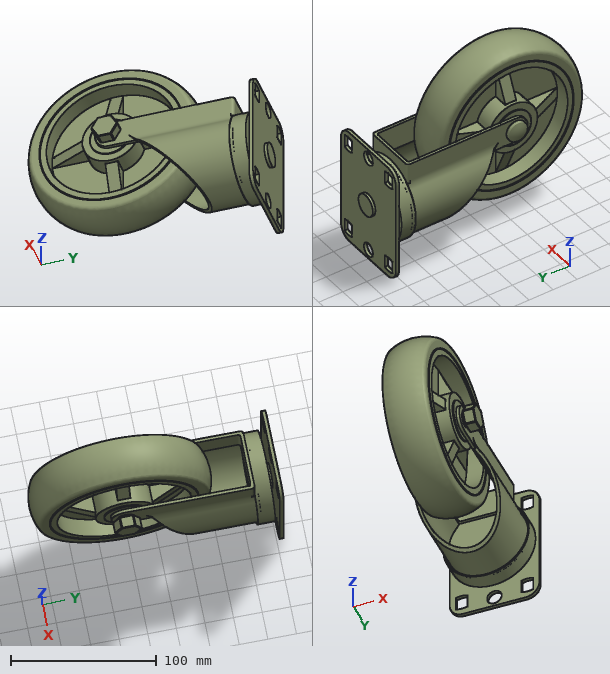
import cadquery as cq
import math


plate_width = 66.5
plate_height = 95.1
plate_thickness = 2.8
plate_corner_radius = 10.0
plate_back_y = -2.3
kingpin_radius = 8.7
slot_width = 8.7
slot_side_height = 10.0
slot_height = 11.5
slot_x = 24.3
slot_z = 36.9
round_hole_radius = 5.4
round_hole_z = 40.0

ring_radius = 31.8
ring_back_y = -8.0
ring_front_y = -20.0
cup_radius = 31.0

tread_radius = 63.5
tread_half_width = 16.0
crown_edge_radius = 59.3
shoulder_fillet = 3.0
groove_inner_radius = 51.6
groove_width = 0.5
groove_depth = 0.5
rim_inner_radius = 47.0
disc_half_width = 3.5
hub_radius = 20.3
hub_half_width = 18.0
boss_radius = 14.6
rib_width = 9.0
rib_inset = 2.8
rib_count = 4

wall = 2.5
barrel_radius = 30.0
arm_outer_x = 21.4
arm_end_radius = 10.0
flare_start_z = 25.4
bend_outer_radius = 2.3
bend_inner_radius = 1.7
bend_bottom_z = 23.6
cut_bottom_y = -44.7
cut_top_y = -95.6

shank_radius = 5.5
head_radius = 8.2
head_edge = 0.7
head_height = 3.1
dome_height = 1.4
nut_gap = 1.9
nut_length = 8.3
nut_across_flats = 16.7
nut_chamfer = 0.5

axle_y = tread_radius - 173.9
axle_z = 30.0
arm_inner_x = arm_outer_x - wall
arm_top_z = axle_z + arm_end_radius
arm_bottom_z = axle_z - arm_end_radius
web_front_y = ring_front_y - wall
cup_floor_y = ring_front_y + wall
barrel_inner_radius = barrel_radius - wall
fork_length = ring_front_y - axle_y + arm_end_radius


def y_cylinder(radius, start_y, end_y):
    """Cylinder on the swivel axis running from start_y toward -Y."""
    return cq.Workplane("XZ", origin=(0, start_y, 0)).circle(radius).extrude(start_y - end_y)


def x_cylinder(radius, start_x, end_x):
    """Cylinder on the wheel axis."""
    plane = cq.Workplane("YZ", origin=(start_x, axle_y, axle_z))
    return plane.circle(radius).extrude(end_x - start_x)


def turn_about_axle(profile):
    """Turn a profile, drawn as (x, radius), about the wheel axis."""
    return profile.revolve(360, (0, 0, 0), (1, 0, 0)).translate((0, axle_y, axle_z))


def make_mount_slot(x, z):
    """Mounting slot with straight sides and bowed ends."""
    half_width = slot_width / 2
    side = slot_side_height / 2
    bow = slot_height / 2
    return (
        cq.Workplane("XZ", origin=(x, plate_back_y, z))
        .moveTo(-half_width, -side)
        .threePointArc((0, -bow), (half_width, -side))
        .lineTo(half_width, side)
        .threePointArc((0, bow), (-half_width, side))
        .close()
        .extrude(plate_thickness)
    )


def make_plate():
    plate = (
        cq.Workplane("XZ", origin=(0, plate_back_y, 0))
        .rect(plate_width, plate_height)
        .extrude(plate_thickness)
        .edges("|Y")
        .fillet(plate_corner_radius)
    )
    for side_z in (-1, 1):
        hole = y_cylinder(round_hole_radius, plate_back_y, plate_back_y - plate_thickness)
        plate = plate.cut(hole.translate((0, 0, side_z * round_hole_z)))
        for side_x in (-1, 1):
            plate = plate.cut(make_mount_slot(side_x * slot_x, side_z * slot_z))
    plate = plate.union(y_cylinder(kingpin_radius, 0, ring_back_y))
    ring = y_cylinder(ring_radius, ring_back_y, ring_front_y)
    ring = ring.cut(y_cylinder(cup_radius, cup_floor_y, ring_front_y))
    return plate.union(ring)


def fork_section(half_width, radius, flare_radius):
    """Section across the fork: two upright sides flaring into a round bottom."""
    flare_x = half_width + flare_radius
    blend_angle = math.atan2(flare_start_z, flare_x)
    blend_x = radius * math.cos(blend_angle)
    blend_z = radius * math.sin(blend_angle)
    mid_x = flare_x - flare_radius * math.cos(blend_angle / 2)
    mid_z = flare_start_z - flare_radius * math.sin(blend_angle / 2)
    return (
        cq.Workplane("XZ", origin=(0, ring_front_y, 0))
        .moveTo(half_width, arm_top_z)
        .lineTo(half_width, flare_start_z)
        .threePointArc((mid_x, mid_z), (blend_x, blend_z))
        .threePointArc((0, -radius), (-blend_x, blend_z))
        .threePointArc((-mid_x, mid_z), (-half_width, flare_start_z))
        .lineTo(-half_width, arm_top_z)
        .close()
    )


def make_barrel():
    """Flared shell whose front end is cut off on a slope."""
    flare_radius = (arm_outer_x**2 + flare_start_z**2 - barrel_radius**2) / (
        2 * (barrel_radius - arm_outer_x)
    )
    shell = fork_section(arm_outer_x, barrel_radius, flare_radius).extrude(fork_length)
    inside = fork_section(arm_inner_x, barrel_inner_radius, flare_radius + wall).extrude(fork_length)
    slope = (cut_top_y - cut_bottom_y) / (flare_start_z + barrel_radius)
    kept_length = (
        cq.Workplane("YZ")
        .moveTo(ring_front_y, -barrel_radius)
        .lineTo(cut_bottom_y, -barrel_radius)
        .lineTo(cut_bottom_y + slope * (arm_top_z + barrel_radius), arm_top_z)
        .lineTo(ring_front_y, arm_top_z)
        .close()
        .extrude(barrel_radius, both=True)
    )
    return shell.cut(inside).intersect(kept_length)


def make_arms():
    """Two round-ended arms joined by a web across the back."""
    block = (
        cq.Workplane("YZ")
        .moveTo(ring_front_y, arm_top_z)
        .lineTo(axle_y, arm_top_z)
        .threePointArc((axle_y - arm_end_radius, axle_z), (axle_y, arm_bottom_z))
        .lineTo(ring_front_y, arm_bottom_z)
        .close()
        .extrude(arm_outer_x, both=True)
    )
    opening = (
        cq.Workplane("XY", origin=(0, web_front_y - fork_length / 2, arm_bottom_z))
        .rect(2 * arm_inner_x, fork_length)
        .extrude(arm_top_z - arm_bottom_z)
        .edges("|Z and >Y")
        .fillet(bend_inner_radius)
    )
    return block.cut(opening)


def make_bend_corner(side):
    """Material outside the rounded outer bend at one back corner of the arms."""
    inner_x = side * (arm_outer_x - bend_outer_radius)
    front_y = ring_front_y - bend_outer_radius
    corner = (
        cq.Workplane("XY", origin=(0, 0, bend_bottom_z))
        .moveTo(inner_x, ring_front_y)
        .lineTo(side * barrel_radius, ring_front_y)
        .lineTo(side * barrel_radius, front_y)
        .lineTo(side * arm_outer_x, front_y)
        .radiusArc((inner_x, ring_front_y), side * -bend_outer_radius)
        .close()
    )
    return corner.extrude(arm_top_z - bend_bottom_z)


def make_fork():
    floor = y_cylinder(barrel_radius, cup_floor_y, ring_front_y)
    fork = make_arms().union(floor).union(make_barrel())
    for side in (-1, 1):
        fork = fork.cut(make_bend_corner(side))
    return fork.cut(x_cylinder(shank_radius, -arm_outer_x, arm_outer_x))


def make_tire():
    """Solid wheel blank with a crowned tread and rounded shoulders."""
    profile = (
        cq.Workplane("XY")
        .moveTo(-tread_half_width, 0)
        .lineTo(-tread_half_width, crown_edge_radius)
        .threePointArc((0, tread_radius), (tread_half_width, crown_edge_radius))
        .lineTo(tread_half_width, 0)
        .close()
    )
    return turn_about_axle(profile).faces("<X or >X").edges().fillet(shoulder_fillet)


def make_rib(side):
    hub_x = side * (hub_half_width - rib_inset)
    disc_x = side * disc_half_width
    return (
        cq.Workplane("XZ")
        .moveTo(0, boss_radius)
        .lineTo(hub_x, boss_radius)
        .lineTo(hub_x, hub_radius)
        .lineTo(disc_x, rim_inner_radius)
        .lineTo(0, rim_inner_radius)
        .close()
        .extrude(rib_width / 2, both=True)
        .translate((0, axle_y, axle_z))
    )


def make_wheel():
    wheel = make_tire()
    for side in (-1, 1):
        face_x = side * tread_half_width
        groove_floor_x = side * (tread_half_width - groove_depth)
        groove = x_cylinder(groove_inner_radius + groove_width, groove_floor_x, face_x)
        groove = groove.cut(x_cylinder(groove_inner_radius, groove_floor_x, face_x))
        pocket = x_cylinder(rim_inner_radius, side * disc_half_width, face_x)
        wheel = wheel.cut(groove).cut(pocket)
    wheel = wheel.union(x_cylinder(hub_radius, -hub_half_width, hub_half_width))
    wheel = wheel.union(x_cylinder(boss_radius, -arm_inner_x, arm_inner_x))
    axis_start = (0, axle_y, axle_z)
    axis_end = (1, axle_y, axle_z)
    for side in (-1, 1):
        for index in range(rib_count):
            wheel = wheel.union(make_rib(side).rotate(axis_start, axis_end, index * 360 / rib_count))
    return wheel.cut(x_cylinder(shank_radius, -arm_inner_x, arm_inner_x))


def make_axle():
    head_x = -arm_outer_x - head_height
    head = x_cylinder(head_radius, head_x, -arm_outer_x).faces("<X or >X").edges().fillet(head_edge)
    dome_rim = head_radius - head_edge
    dome_sphere = (dome_rim**2 + dome_height**2) / (2 * dome_height)
    half = math.asin(dome_rim / dome_sphere) / 2
    top = head_x - dome_height
    dome = turn_about_axle(
        cq.Workplane("XY")
        .moveTo(head_x, 0)
        .lineTo(head_x, dome_rim)
        .threePointArc(
            (top + dome_sphere * (1 - math.cos(half)), dome_sphere * math.sin(half)), (top, 0)
        )
        .close()
    )
    nut_x = arm_outer_x + nut_gap
    nut = (
        cq.Workplane("YZ", origin=(nut_x, axle_y, axle_z))
        .polygon(6, nut_across_flats / math.cos(math.pi / 6))
        .extrude(nut_length)
        .edges()
        .chamfer(nut_chamfer)
    )
    shank = x_cylinder(shank_radius, -arm_outer_x, nut_x)
    return head.union(dome).union(shank).union(nut)


plate = make_plate()
fork = make_fork()
wheel = make_wheel()
axle = make_axle()

result = cq.Compound.makeCompound([plate.val(), fork.val(), wheel.val(), axle.val()])